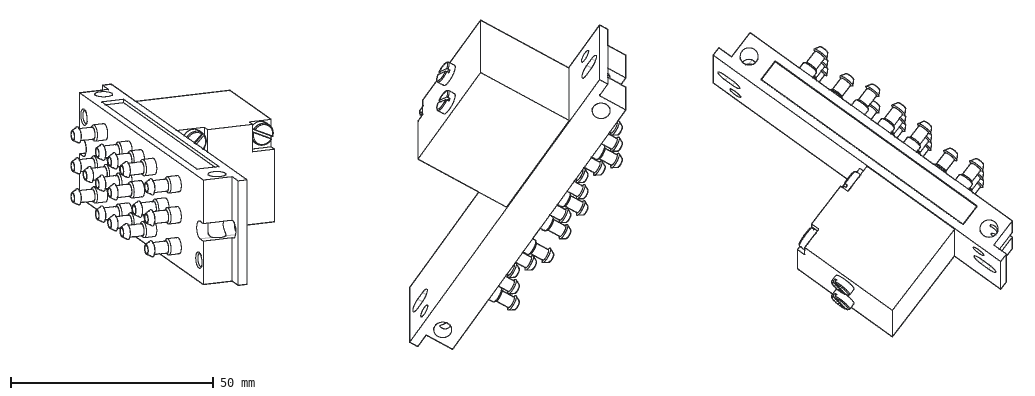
import cadquery as cq

plate_length = 88.5
plate_height = 27.0
plate_depth = 10.1
body_length = 80.7
flange_depth = 2.4

recess_length = 62.1
recess_width = 5.8
recess_depth = 0.9
cross_hole_diameter = 4.4
cross_hole_offset = 36.9

slot_length = 6.7
slot_width = 4.5
slot_offset = 39.4
screw_hole_diameter = 3.3
screw_hole_mouth_diameter = 4.1
screw_hole_offset = 37.4
mouth_angle = 45

barb_row_span = 48.0
barb_pitch = barb_row_span / 6
barb_length = 8.5
barb_diameter = 4.1
barb_shoulder_length = 3.2
barb_shoulder_chamfer = 0.4
barb_neck_diameter = 3.0
barb_head_length = 1.7
barb_back_taper = 0.3
barb_tip_diameter = 2.5
barb_bore_diameter = 2.0
barb_bore_depth = 4.4
outer_row_columns = (-3, -1, 0, 1, 3)
middle_row_columns = (-3, -2, -1, 0, 2, 3)
barb_rows = {1: outer_row_columns, 0: middle_row_columns, -1: outer_row_columns}

block_width = 29.2
block_depth = 25.8
block_height = 25.8
block_left = -30.1
block_right = block_left + block_width

head_diameter = 5.7
head_height = 2.0
head_chamfer = 0.3
head_slot_width = 0.7
head_slot_depth = 0.9
head_slot_angle = 45
side_back_slot_angle = -25
back_head_spacing = 14.0

pocket_depth = 2.2
pocket_height = 7.1
front_pocket_clearance = 0.2
side_head_z = 9.9
side_head_back_inset = 3.0
side_head_back_y = block_depth - side_head_back_inset
side_head_front_y = 5.0


def make_plate():
    body = cq.Workplane("XY").box(body_length, plate_depth, plate_height).translate((0, -plate_depth / 2, 0))
    flange = cq.Workplane("XY").box(plate_length, flange_depth, plate_height).translate((0, -flange_depth / 2, 0))
    return body.union(flange)


def cut_plate_features(plate):
    top = cq.Workplane("XY", origin=(0, -plate_depth / 2, plate_height / 2))
    recess = top.rect(recess_length, recess_width).extrude(-recess_depth)
    cross_holes = (
        top.pushPoints([(-cross_hole_offset, 0), (cross_hole_offset, 0)])
        .circle(cross_hole_diameter / 2)
        .extrude(-plate_height)
    )
    front = cq.Workplane("XZ", origin=(0, -plate_depth, 0))
    slots = (
        front.pushPoints([(-slot_offset, 0), (slot_offset, 0)])
        .slot2D(slot_length, slot_width)
        .extrude(-plate_depth)
    )
    screw_points = [(-screw_hole_offset, barb_pitch), (screw_hole_offset, -barb_pitch)]
    screw_holes = front.pushPoints(screw_points).circle(screw_hole_diameter / 2).extrude(-plate_depth)
    mouth_chamfer = (screw_hole_mouth_diameter - screw_hole_diameter) / 2
    mouths = (
        front.pushPoints(screw_points)
        .circle(screw_hole_mouth_diameter / 2)
        .extrude(-mouth_chamfer, taper=mouth_angle)
    )
    return plate.cut(recess).cut(cross_holes).cut(slots).cut(screw_holes).cut(mouths)


def make_barb():
    """Hose barb on the Z axis, rising from Z = 0, with a blind bore in its tip."""
    outer = barb_diameter / 2
    neck = barb_neck_diameter / 2
    bore = barb_bore_diameter / 2
    head_start = barb_length - barb_head_length
    bore_end = barb_length - barb_bore_depth
    return (
        cq.Workplane("XZ")
        .moveTo(0, 0)
        .lineTo(outer, 0)
        .lineTo(outer, barb_shoulder_length - barb_shoulder_chamfer)
        .lineTo(outer - barb_shoulder_chamfer, barb_shoulder_length)
        .lineTo(neck, barb_shoulder_length)
        .lineTo(neck, head_start)
        .lineTo(outer, head_start + barb_back_taper)
        .lineTo(barb_tip_diameter / 2, barb_length)
        .lineTo(bore, barb_length)
        .lineTo(bore, bore_end)
        .lineTo(0, bore_end)
        .close()
        .revolve(360, (0, 0), (0, 1))
    )


def add_barbs(part):
    barb = make_barb().rotate((0, 0, 0), (1, 0, 0), 90)
    for row, columns in barb_rows.items():
        for column in columns:
            part = part.union(barb.translate((column * barb_pitch, -plate_depth, row * barb_pitch)))
    return part


def make_block():
    return cq.Workplane("XY").box(block_width, block_depth, block_height).translate(
        ((block_left + block_right) / 2, block_depth / 2, 0)
    )


def cut_pockets(block):
    back_start = side_head_back_y - head_diameter / 2
    front_end = side_head_front_y + head_diameter / 2 + front_pocket_clearance
    for start, end in ((back_start, block_depth), (0, front_end)):
        pocket = cq.Workplane("XY").box(pocket_depth, end - start, pocket_height, centered=False)
        block = block.cut(pocket.translate((block_right - pocket_depth, start, block_height / 2 - pocket_height)))
    return block


def make_screw_head(slot_angle):
    """Screw head standing on the XY plane, its slot turned by slot_angle from X."""
    head = cq.Workplane("XY").circle(head_diameter / 2).extrude(head_height).faces(">Z").chamfer(head_chamfer)
    slot = (
        cq.Workplane("XY", origin=(0, 0, head_height))
        .rect(head_diameter, head_slot_width)
        .extrude(-head_slot_depth)
        .rotate((0, 0, 0), (0, 0, 1), slot_angle)
    )
    return head.cut(slot)


def add_screw_heads(part):
    back_head = make_screw_head(-head_slot_angle).rotate((0, 0, 0), (1, 0, 0), -90)
    for z in (-back_head_spacing / 2, back_head_spacing / 2):
        part = part.union(back_head.translate(((block_left + block_right) / 2, block_depth, z)))
    for y, slot_angle in (
        (side_head_front_y, head_slot_angle),
        (side_head_back_y, side_back_slot_angle),
    ):
        side_head = make_screw_head(90 + slot_angle).rotate((0, 0, 0), (0, 1, 0), 90)
        part = part.union(side_head.translate((block_right - pocket_depth, y, side_head_z)))
    return part


result = add_barbs(cut_plate_features(make_plate()))
result = result.union(cut_pockets(make_block()))
result = add_screw_heads(result)